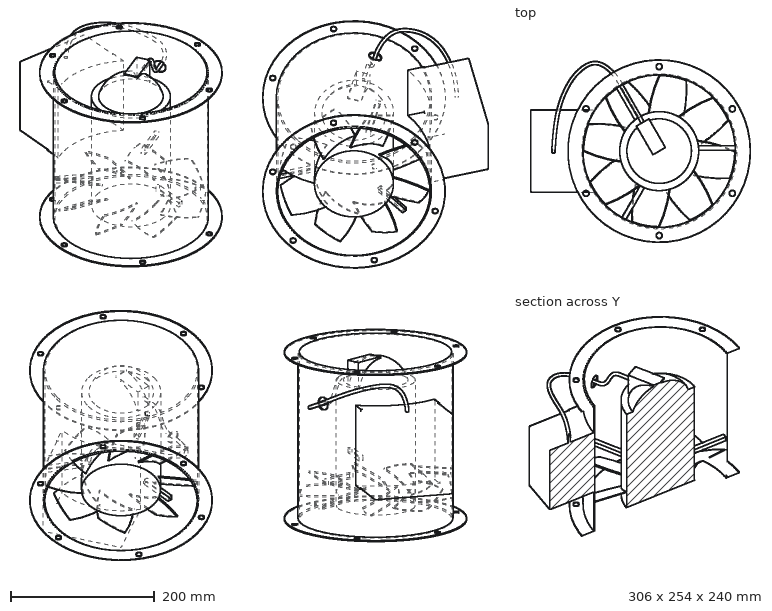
import cadquery as cq
import math

duct_height = 240.0
duct_outer_radius = 108.0
wall = 2.0
duct_inner_radius = duct_outer_radius - wall

flange_radius = 127.0
flange_thickness = 1.5
bolt_count = 6
bolt_hole_diameter = 8.0
bolt_circle_radius = (flange_radius + duct_outer_radius) / 2
first_bolt_angle = 30.0

motor_radius = 55.0
motor_bottom = 20.0
motor_top = 200.0
dome_radius = 45.0
dome_height = 34.0
block_length = 46.0
block_width = 20.0
block_height = 35.0

strut_count = 3
strut_width = 6.5
strut_height = 7.0
strut_offset = 4.4
strut_mid_z = 74.5

blade_count = 8
blade_first_angle = 34.5
blade_pitch = 32.0
blade_thickness = 2.0
blade_mid_z = 44.0
blade_tip_gap = 0.7
blade_tip_radius = duct_inner_radius - blade_tip_gap
blade_root_half_width = 24.0
blade_mid_half_width = 23.4
blade_tip_half_width = 18.2

box_size = 115.0
box_outer_x = -179.0
box_bottom = 75.0
box_top = box_bottom + box_size
box_edge_radius = 2.5
box_rounded_length = 64.0

cable_angle = 120.0
cable_radius = 2.4
cable_block_z = 218.5
cable_wall_z = 186.0
cable_straight_end = 66.0
cable_level_start = 99.0
cable_box_x = -147.0
cable_box_y = -0.5
cable_hole_radius = 9.0
cable_wall_exit = 3.0
cable_loop_points = [
    (-89.0, 122.5, 191.5),
    (-109.0, 113.5, 201.0),
    (-129.0, 87.0, 216.0),
    (-142.0, 48.0, 227.5),
    (-146.2, 14.0, 224.0),
]

embed = 3.0


def disc(radius, bottom, height):
    return cq.Workplane("XY").workplane(offset=bottom).circle(radius).extrude(height)


def radial_point(radius, z):
    """Point on the vertical plane that holds the inner cable run."""
    angle = math.radians(cable_angle)
    return (radius * math.cos(angle), radius * math.sin(angle), z)


def make_duct():
    duct = disc(duct_outer_radius, 0, duct_height)
    for bottom in (0, duct_height - flange_thickness):
        duct = duct.union(disc(flange_radius, bottom, flange_thickness))
    bolt_holes = (
        cq.Workplane("XY")
        .polarArray(bolt_circle_radius, first_bolt_angle, 360, bolt_count)
        .circle(bolt_hole_diameter / 2)
        .extrude(duct_height)
    )
    return duct.cut(bolt_holes).cut(disc(duct_inner_radius, 0, duct_height))


def make_motor():
    dome_sphere_radius = (dome_radius**2 + dome_height**2) / (2 * dome_height)
    dome_center_z = motor_top + dome_height - dome_sphere_radius
    dome = (
        cq.Workplane("XY")
        .sphere(dome_sphere_radius)
        .translate((0, 0, dome_center_z))
        .intersect(disc(dome_radius, motor_top - embed, dome_height + 2 * embed))
    )
    block = (
        cq.Workplane("XY")
        .box(block_length, block_width, block_height, centered=(False, True, False))
        .rotate((0, 0, 0), (0, 0, 1), cable_angle)
        .translate((0, 0, motor_top))
    )
    body = disc(motor_radius, motor_bottom, motor_top - motor_bottom)
    return body.union(dome).union(block)


def make_struts():
    length = duct_inner_radius + wall / 2
    strut = (
        cq.Workplane("XY")
        .box(length, strut_width, strut_height, centered=(False, True, True))
        .translate((0, strut_offset, strut_mid_z))
    )
    return [strut.rotate((0, 0, 0), (0, 0, 1), index * 360 / strut_count) for index in range(strut_count)]


def make_blades():
    stretch = 1 / math.cos(math.radians(blade_pitch))
    root = motor_radius - 2 * embed
    tip = duct_inner_radius
    middle = (root + tip) / 2
    blank = (
        cq.Workplane("XY")
        .moveTo(root, blade_root_half_width * stretch)
        .threePointArc((middle, blade_mid_half_width * stretch), (tip, blade_tip_half_width * stretch))
        .lineTo(tip, -blade_tip_half_width * stretch)
        .threePointArc((middle, -blade_mid_half_width * stretch), (root, -blade_root_half_width * stretch))
        .close()
        .extrude(blade_thickness / 2, both=True)
        .rotate((0, 0, 0), (1, 0, 0), blade_pitch)
        .translate((0, 0, blade_mid_z))
    )
    blade = blank.intersect(disc(blade_tip_radius, 0, duct_height))
    blades = []
    for index in range(blade_count):
        angle = blade_first_angle + index * 360 / blade_count
        blades.append(blade.rotate((0, 0, 0), (0, 0, 1), angle))
    return blades


def make_box():
    outer = (
        cq.Workplane("XY")
        .box(box_rounded_length, box_size, box_size, centered=(False, True, False))
        .faces("<X or <Y or >Y").edges("not(>X)")
        .fillet(box_edge_radius)
        .translate((box_outer_x, 0, box_bottom))
    )
    inner_start = box_outer_x + box_rounded_length
    inner = (
        cq.Workplane("XY")
        .box(-inner_start, box_size, box_size, centered=(False, True, False))
        .translate((inner_start, 0, box_bottom))
    )
    return outer.union(inner).cut(disc(duct_inner_radius + wall / 2, 0, duct_height))


def make_cable():
    outward = cq.Vector(*radial_point(1, 0))
    downward = cq.Vector(0, 0, -1)
    block_exit = cq.Vector(*radial_point(block_length - embed, cable_block_z))
    bend_start = cq.Vector(*radial_point(cable_straight_end, cable_block_z))
    bend_end = cq.Vector(*radial_point(cable_level_start, cable_wall_z))
    outside_wall = cq.Vector(*radial_point(duct_outer_radius + cable_wall_exit, cable_wall_z))
    box_entry = cq.Vector(cable_box_x, cable_box_y, box_top - embed)
    loop = [outside_wall] + [cq.Vector(*point) for point in cable_loop_points] + [box_entry]
    path = cq.Wire.assembleEdges([
        cq.Edge.makeLine(block_exit, bend_start),
        cq.Edge.makeSpline([bend_start, bend_end], tangents=[outward, outward]),
        cq.Edge.makeLine(bend_end, outside_wall),
        cq.Edge.makeSpline(loop, tangents=[outward, downward], scale=False),
    ])
    start = cq.Plane(block_exit, (0, 0, 1), outward)
    return cq.Workplane(start).circle(cable_radius).sweep(cq.Workplane(path))


def make_cable_hole():
    origin = radial_point(motor_radius, cable_wall_z)
    plane = cq.Plane(origin, (0, 0, 1), radial_point(1, 0))
    return cq.Workplane(plane).circle(cable_hole_radius).extrude(flange_radius - motor_radius)


result = make_duct().cut(make_cable_hole()).union(make_motor())
for internal_part in make_struts() + make_blades():
    result = result.union(internal_part)
result = result.union(make_box()).union(make_cable())